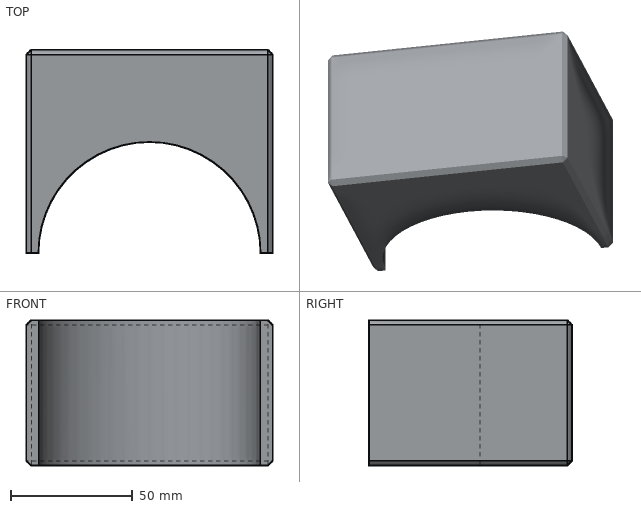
import cadquery as cq

width = 101.6
depth = 83.8
height = 60.0
edge_chamfer = 2.0

saddle_radius = 45.7


def chamfered_block():
    """Block with every edge chamfered except those around the open face."""
    block = cq.Workplane("XY").box(width, depth, height, centered=(True, False, True))
    back_edges = block.faces(">Y").edges()
    side_edges = block.edges("|Y")
    return block.newObject(back_edges.vals() + side_edges.vals()).chamfer(edge_chamfer)


def saddle():
    return (
        cq.Workplane("XY", origin=(0, 0, -height / 2))
        .circle(saddle_radius)
        .extrude(height)
    )


result = chamfered_block().cut(saddle())